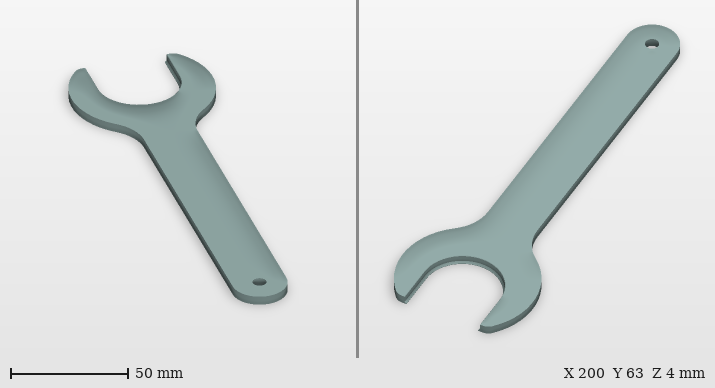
import cadquery as cq
import math

length = 200.0
thickness = 4.0

handle_radius = 12.0
handle_end_x = length - handle_radius
hole_diameter = 6.0

head_radius = 31.5
head_x = 22.8
neck_radius = 20.0
tip_radius = 5.0

jaw_radius = 18.2
jaw_x = 18.0
edge_chamfer = 0.2
lip_land = 0.2
lip_width = 0.85


def circle_point(center_x, center_y, radius, angle):
    """Point on a circle at an angle in radians."""
    return center_x + radius * math.cos(angle), center_y + radius * math.sin(angle)


def make_blank():
    """Wrench outline without the jaw: the upper half is drawn, then mirrored about X."""
    neck_y = handle_radius + neck_radius
    neck_dx = math.sqrt((head_radius + neck_radius) ** 2 - neck_y**2)
    neck_x = head_x + neck_dx
    neck_angle = math.atan2(neck_y, neck_dx)
    neck_start = circle_point(head_x, 0, head_radius, neck_angle)
    neck_middle_angle = (neck_angle - math.pi - math.pi / 2) / 2
    neck_middle = circle_point(neck_x, neck_y, neck_radius, neck_middle_angle)

    tip_dx = tip_radius - head_x
    tip_y = math.sqrt((head_radius - tip_radius) ** 2 - tip_dx**2)
    tip_angle = math.atan2(tip_y, tip_dx)
    tip_end = circle_point(head_x, 0, head_radius, tip_angle)
    tip_middle = circle_point(tip_radius, tip_y, tip_radius, (tip_angle + math.pi) / 2)

    upper_half = (
        cq.Workplane("XY")
        .lineTo(0, tip_y)
        .threePointArc(tip_middle, tip_end)
        .threePointArc((head_x, head_radius), neck_start)
        .threePointArc(neck_middle, (neck_x, handle_radius))
        .lineTo(handle_end_x, handle_radius)
        .lineTo(handle_end_x, 0)
        .close()
        .extrude(thickness)
    )
    handle_end = cq.Workplane("XY").center(handle_end_x, 0).circle(handle_radius).extrude(thickness)
    return upper_half.union(upper_half.mirror("XZ")).union(handle_end)


def jaw_profile(plane_z, radius):
    """Closed U outline of the jaw at the given height."""
    return (
        cq.Workplane("XY", origin=(0, 0, plane_z))
        .moveTo(0, -radius)
        .lineTo(jaw_x, -radius)
        .threePointArc((jaw_x + radius, 0), (jaw_x, radius))
        .lineTo(0, radius)
        .close()
    )


def jaw_taper(bottom_z, bottom_radius, top_z, top_radius):
    """Jaw slice whose walls slope between two heights."""
    bottom_wire = jaw_profile(bottom_z, bottom_radius).wire().val()
    top_wire = jaw_profile(top_z, top_radius).wire().val()
    return cq.Workplane(cq.Solid.makeLoft([bottom_wire, top_wire], True))


def make_jaw():
    """Jaw cutter: chamfered top edge, straight wall, then a 45 degree lip above a short land."""
    lip_radius = jaw_radius - lip_width
    lip_top_z = lip_land + lip_width
    chamfer_z = thickness - edge_chamfer
    land = jaw_profile(0, lip_radius).extrude(lip_land)
    lip = jaw_taper(lip_land, lip_radius, lip_top_z, jaw_radius)
    wall = jaw_profile(lip_top_z, jaw_radius).extrude(chamfer_z - lip_top_z)
    chamfer = jaw_taper(chamfer_z, jaw_radius, thickness, jaw_radius + edge_chamfer)
    return land.union(lip).union(wall).union(chamfer)


def make_hole():
    """Hanging hole, concentric with the rounded handle end."""
    return cq.Workplane("XY").center(handle_end_x, 0).circle(hole_diameter / 2).extrude(thickness)


result = make_blank().cut(make_jaw()).cut(make_hole())